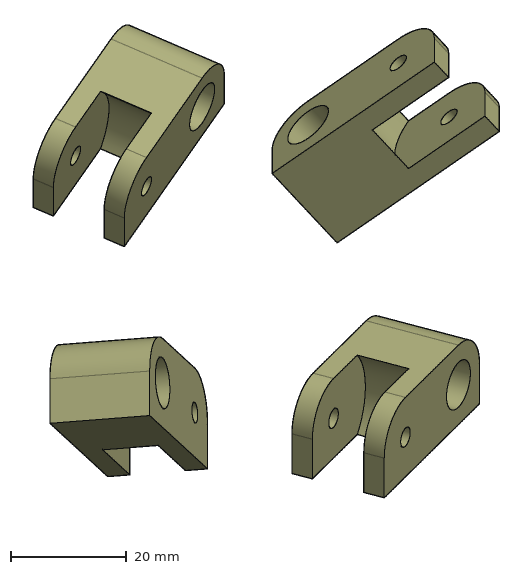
import cadquery as cq

width = 18.0
height = 16.0
axis_spacing = 20.0

end_radius = height / 2
bore_diameter = 9.0
pin_hole_diameter = 3.6

slot_width = 10.0
slot_floor_radius = axis_spacing - end_radius

pin_y = 0.0
bore_y = pin_y + axis_spacing
front_y = pin_y - end_radius
back_y = bore_y + end_radius
bottom_z = -height / 2
top_z = height / 2


def cylinder_along_x(y, diameter, length):
    """Cylinder parallel to X, centred on X = 0, with its axis at Z = 0."""
    return (
        cq.Workplane("YZ")
        .center(y, 0)
        .circle(diameter / 2)
        .extrude(length / 2, both=True)
    )


def make_body():
    """Block with a square bottom and quarter-round upper corners at both ends."""
    return (
        cq.Workplane("YZ")
        .moveTo(front_y, bottom_z)
        .lineTo(back_y, bottom_z)
        .lineTo(back_y, 0)
        .radiusArc((bore_y, top_z), -end_radius)
        .lineTo(pin_y, top_z)
        .radiusArc((front_y, 0), -end_radius)
        .close()
        .extrude(width / 2, both=True)
    )


def make_fork_slot():
    """Clearance between the fork arms, ending in a concave cylindrical floor."""
    return cylinder_along_x(pin_y, 2 * slot_floor_radius, slot_width)


result = (
    make_body()
    .cut(make_fork_slot())
    .cut(cylinder_along_x(bore_y, bore_diameter, width))
    .cut(cylinder_along_x(pin_y, pin_hole_diameter, width))
)